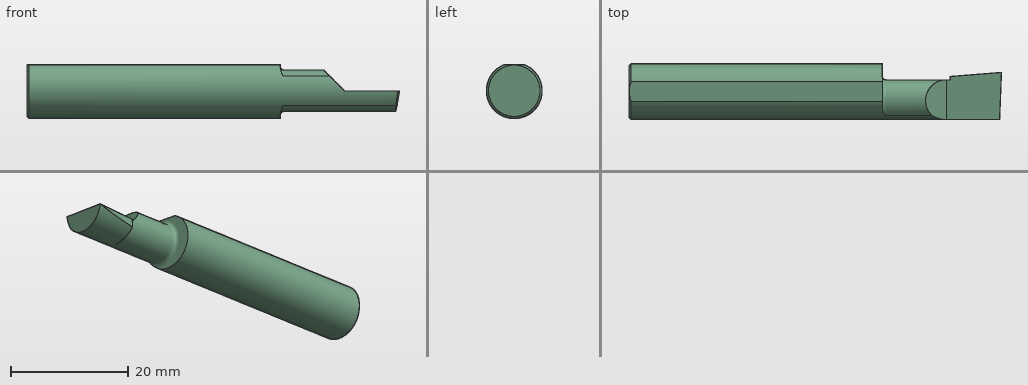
import cadquery as cq
import math

length = 63.5
shank_radius = 4.75
shank_length = 43.2
flat_height = 4.45
end_chamfer = 0.4

neck_radius = 3.55
neck_offset_y = -1.5
shoulder_fillet = 0.65

ramp_end_x = 54.1
head_start_x = 54.75
head_start_y = 2.6
tip_y = 3.3
end_relief_angle = 8.0
edge_setback = 0.3


def cylinder_x(radius, start, end, center_y=0.0):
    return (
        cq.Workplane("YZ", origin=(start, 0, 0))
        .center(center_y, 0)
        .circle(radius)
        .extrude(end - start)
    )


def make_shank():
    shank = cylinder_x(shank_radius, 0, shank_length).faces("<X").chamfer(end_chamfer)
    flat_cut = cq.Workplane("XY", origin=(0, 0, flat_height)).rect(
        2 * shank_length, 4 * shank_radius
    ).extrude(shank_radius)
    return shank.cut(flat_cut)


def make_shoulder():
    """Concave fillet of revolution between the neck and the shank face."""
    fillet_end = shank_length + shoulder_fillet
    outer_radius = neck_radius + shoulder_fillet
    arc_reach = shoulder_fillet * (1 - math.sqrt(0.5))
    return (
        cq.Workplane("XY", origin=(0, neck_offset_y, 0))
        .moveTo(shank_length, 0)
        .lineTo(shank_length, outer_radius)
        .threePointArc(
            (shank_length + arc_reach, neck_radius + arc_reach),
            (fillet_end, neck_radius),
        )
        .lineTo(fillet_end, 0)
        .close()
        .revolve(360, (0, 0, 0), (1, 0, 0))
    )


def make_head():
    """Tapered widening on the +Y side of the neck, with an arc-shaped underside."""
    half_width = tip_y - neck_offset_y
    underside = (
        cq.Workplane("YZ", origin=(head_start_x, 0, 0))
        .moveTo(tip_y, 0)
        .threePointArc((neck_offset_y, -neck_radius), (neck_offset_y - half_width, 0))
        .close()
        .extrude(length - head_start_x)
    )
    plan = (
        cq.Workplane("XY")
        .moveTo(head_start_x, neck_offset_y)
        .lineTo(length, neck_offset_y)
        .lineTo(length, tip_y)
        .lineTo(head_start_x, head_start_y)
        .close()
        .extrude(-shank_radius)
    )
    return underside.intersect(plan)


def rake_cut():
    """Space above the rake face and its 45 degree run-out."""
    return (
        cq.Workplane("XZ")
        .moveTo(ramp_end_x, 0)
        .lineTo(ramp_end_x - shank_radius, shank_radius)
        .lineTo(length, shank_radius)
        .lineTo(length, 0)
        .close()
        .extrude(shank_radius, both=True)
    )


def end_relief_cut():
    """Wedge beyond the end face, leaning back below a slanted cutting edge."""
    lean = shank_radius * math.tan(math.radians(end_relief_angle))
    setback_per_width = edge_setback / (tip_y + shank_radius)
    near_x = length - edge_setback
    far_x = length + (shank_radius - tip_y) * setback_per_width
    outer_x = length + shank_radius

    def section(z, shift):
        return cq.Wire.makePolygon(
            [
                cq.Vector(near_x - shift, -shank_radius, z),
                cq.Vector(outer_x, -shank_radius, z),
                cq.Vector(outer_x, shank_radius, z),
                cq.Vector(far_x - shift, shank_radius, z),
            ],
            close=True,
        )

    wedge = cq.Solid.makeLoft([section(-shank_radius, lean), section(0, 0)], True)
    return cq.Workplane(obj=wedge)


neck = cylinder_x(neck_radius, shank_length, length, neck_offset_y)
front_end = neck.union(make_shoulder()).cut(rake_cut()).union(make_head())
front_end = front_end.intersect(cylinder_x(shank_radius, shank_length, length))
result = make_shank().union(front_end).cut(end_relief_cut())